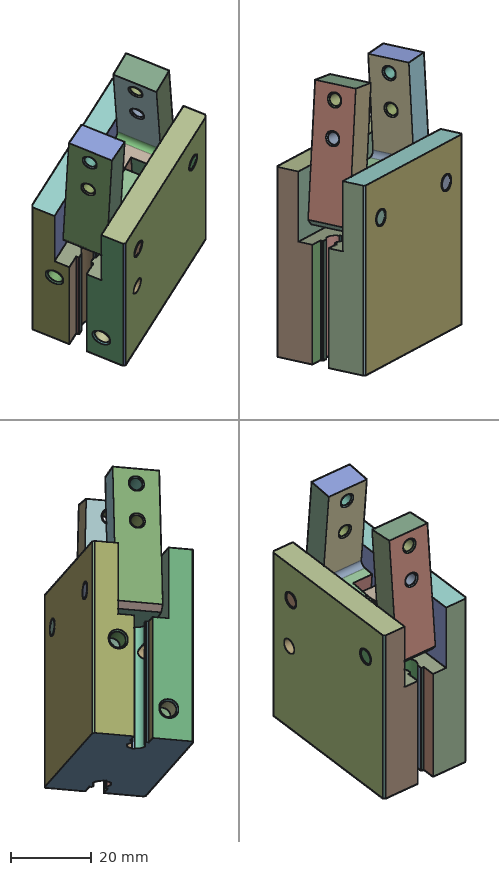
import cadquery as cq
import math

overall_height = 72.2
housing_width = 26.0
housing_depth = 45.0
housing_height = 50.0
corner_chamfer = 0.5

channel_width = 13.0
channel_floor = 31.55

jaw_width = 12.0
jaw_tilt = 5.0
arm_thickness = 7.0
arm_top = 32.55
tail_height = 9.95
short_tail_reach = 8.0
finger_reach = 18.0
heel_chamfer = 1.5
arm_fillet = 1.5
jaw_hole_diameter = 3.25
jaw_hole_mouth = 4.0
jaw_hole_from_top = 4.05
jaw_hole_pitch = 9.95

pivot_offset = 15.0
pin_diameter = 4.0
pin_hole_mouth = 4.5
tilt = math.radians(jaw_tilt)
pivot_height = overall_height - arm_top * math.cos(tilt) - arm_thickness / 2 * math.sin(tilt)

groove_mouth_width = 4.75
groove_mouth_depth = 3.75
groove_neck_width = 3.25
groove_neck_length = 1.45
groove_neck_chamfer = 0.2
groove_diameter = 4.6
groove_slit_width = 0.7
groove_slit_depth = 0.2
groove_center_depth = (
    groove_mouth_depth + groove_neck_length
    + math.sqrt(groove_diameter ** 2 - groove_neck_width ** 2) / 2
)

port_diameter = 4.1
port_mouth = 5.0
port_depth = 5.8
passage_diameter = 1.5
passage_depth = 8.65
drill_point_angle = 118.0
port_offset = 6.5
upper_port_height = 25.0
lower_port_height = 8.0
front_ports = [(-port_offset, upper_port_height), (port_offset, lower_port_height)]

front_face = -housing_depth / 2


def cone_along(base, direction, base_diameter, tip_diameter, height):
    """Solid cone frustum starting at `base` and narrowing along `direction`."""
    return cq.Workplane(
        cq.Solid.makeCone(
            base_diameter / 2, tip_diameter / 2, height, cq.Vector(*base), cq.Vector(*direction)
        )
    )


def cylinder_along(base, direction, diameter, height):
    """Solid cylinder starting at `base` and running along `direction`."""
    return cq.Workplane(
        cq.Solid.makeCylinder(diameter / 2, height, cq.Vector(*base), cq.Vector(*direction))
    )


def front_groove():
    """Stepped mouth, neck, round sensor channel and slit, cut along Z in the front face."""
    def strip(width, depth):
        return (
            cq.Workplane("XY").center(0, front_face + depth / 2).rect(width, depth)
            .extrude(channel_floor)
        )

    slit_end = groove_center_depth + groove_diameter / 2 + groove_slit_depth
    round_channel = (
        cq.Workplane("XY").center(0, front_face + groove_center_depth)
        .circle(groove_diameter / 2).extrude(channel_floor)
    )
    neck_start = front_face + groove_mouth_depth
    half_neck = groove_neck_width / 2
    half_neck_mouth = half_neck + groove_neck_chamfer
    neck_mouth = (
        cq.Workplane("XY")
        .moveTo(-half_neck_mouth, neck_start)
        .lineTo(half_neck_mouth, neck_start)
        .lineTo(half_neck, neck_start + groove_neck_chamfer)
        .lineTo(-half_neck, neck_start + groove_neck_chamfer)
        .close()
        .extrude(channel_floor)
    )
    return (
        strip(groove_mouth_width, groove_mouth_depth)
        .union(neck_mouth)
        .union(strip(groove_neck_width, groove_center_depth))
        .union(round_channel)
        .union(strip(groove_slit_width, slit_end))
    )


def air_port(x, z):
    """Threaded-size port with a chamfered mouth, a conical bottom and a narrow air passage."""
    inward = (0, 1, 0)
    mouth_depth = (port_mouth - port_diameter) / 2
    tip_slope = math.tan(math.radians(drill_point_angle / 2))
    tip_length = port_diameter / 2 / tip_slope
    passage_tip_length = passage_diameter / 2 / tip_slope
    port = cylinder_along((x, front_face, z), inward, port_diameter, port_depth)
    mouth = cone_along((x, front_face, z), inward, port_mouth, port_diameter, mouth_depth)
    tip = cone_along(
        (x, front_face + port_depth, z), inward, port_diameter, 0, tip_length
    )
    passage = cylinder_along((x, front_face, z), inward, passage_diameter, passage_depth)
    passage_tip = cone_along(
        (x, front_face + passage_depth, z), inward, passage_diameter, 0, passage_tip_length
    )
    return port.union(mouth).union(tip).union(passage).union(passage_tip)


def pivot_hole(y):
    """Hole right through the housing along X, chamfered at both outer sides."""
    half = housing_width / 2
    mouth_depth = (pin_hole_mouth - pin_diameter) / 2
    hole = cylinder_along((-half, y, pivot_height), (1, 0, 0), pin_diameter, housing_width)
    for side in (-1, 1):
        mouth = cone_along(
            (side * half, y, pivot_height), (-side, 0, 0), pin_hole_mouth, pin_diameter, mouth_depth
        )
        hole = hole.union(mouth)
    return hole


def make_housing():
    body = (
        cq.Workplane("XY").rect(housing_width, housing_depth).extrude(housing_height)
        .edges("|Z").chamfer(corner_chamfer)
    )
    channel = (
        cq.Workplane("XY").workplane(offset=channel_floor)
        .rect(channel_width, housing_depth).extrude(housing_height - channel_floor)
    )
    body = body.cut(channel)

    groove = front_groove()
    body = body.cut(groove).cut(groove.mirror("XZ"))

    for x, z in front_ports:
        body = body.cut(air_port(x, z))

    side_port = cylinder_along(
        (0, front_face + groove_center_depth, upper_port_height),
        (1, 0, 0), port_diameter, housing_width / 2,
    )
    body = body.cut(side_port)

    for side in (-1, 1):
        body = body.cut(pivot_hole(side * pivot_offset))
    return body


def jaw_hole(z):
    """Through hole across the arm with a chamfered mouth on both faces."""
    half = arm_thickness / 2
    mouth_depth = (jaw_hole_mouth - jaw_hole_diameter) / 2
    hole = cylinder_along((0, -half, z), (0, 1, 0), jaw_hole_diameter, arm_thickness)
    for side in (-1, 1):
        mouth = cone_along(
            (0, side * half, z), (0, -side, 0), jaw_hole_mouth, jaw_hole_diameter, mouth_depth
        )
        hole = hole.union(mouth)
    return hole


def make_front_jaw():
    """Jaw at the -Y end: L-shaped lever with its pivot pin, finger on the +X half."""
    half_arm = arm_thickness / 2
    half_tail = tail_height / 2

    jaw = (
        cq.Workplane("YZ")
        .moveTo(-half_arm, arm_top)
        .lineTo(half_arm, arm_top)
        .lineTo(half_arm, half_tail + arm_fillet)
        .radiusArc((half_arm + arm_fillet, half_tail), -arm_fillet)
        .lineTo(short_tail_reach, half_tail)
        .lineTo(short_tail_reach, -half_tail)
        .lineTo(heel_chamfer - half_arm, -half_tail)
        .lineTo(-half_arm, heel_chamfer - half_tail)
        .close()
        .extrude(jaw_width / 2, both=True)
    )
    finger = cq.Workplane("XY").box(
        jaw_width / 2, finger_reach, tail_height, centered=(False, False, True)
    )
    pin = cylinder_along((-housing_width / 2, 0, 0), (1, 0, 0), pin_diameter, housing_width)
    jaw = jaw.union(finger).union(pin)

    for row in range(2):
        jaw = jaw.cut(jaw_hole(arm_top - jaw_hole_from_top - row * jaw_hole_pitch))
    return (
        jaw.rotate((0, 0, 0), (1, 0, 0), -jaw_tilt)
        .translate((0, -pivot_offset, pivot_height))
    )


housing = make_housing()
front_jaw = make_front_jaw()
jaws = [front_jaw.rotate((0, 0, 0), (0, 0, 1), angle) for angle in (0, 180)]

result = cq.Compound.makeCompound([housing.val(), *[jaw.val() for jaw in jaws]])